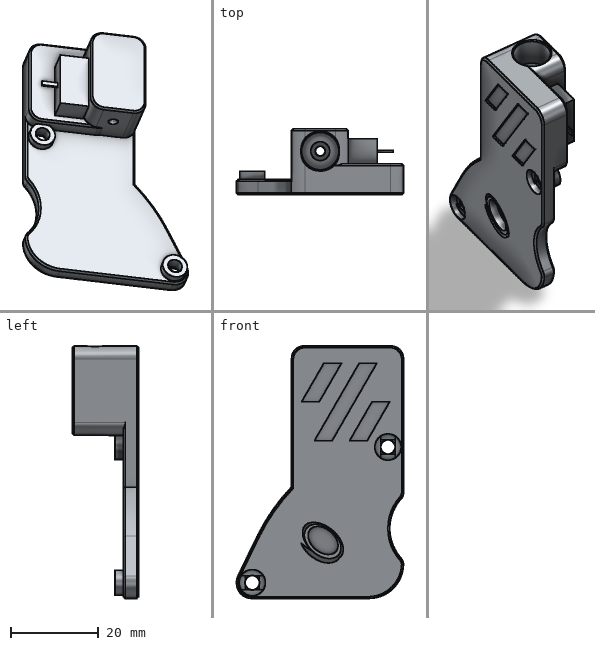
import cadquery as cq
import math


HOUSING_WIDTH = 38.19
HOUSING_HEIGHT = 57.75
UPPER_LEFT_X = 12.58
PLATE_THICKNESS = 3.5
STEP_THICKNESS = 7.1
BLOCK_THICKNESS = 15.1
CORNER_RADIUS = 3.0
EDGE_CHAMFER = 0.45

ARM_RADIUS = 3.62
ARM_EDGE_ANGLE = math.radians(64)
ARM_EDGE_TOP_Z = 14.35
ARC_MIDPOINT_INSET = 1 - math.sqrt(0.5)
WAIST_Z = 25.45
HEEL_RADIUS = 8.0
BITE_RADIUS = 10.3
BITE_DEPTH = 3.15
BITE_CENTRE_Z = 16.0
BITE_LIP_RADIUS = 2.0

BLOCK_WIDTH = 12.95
BLOCK_BOTTOM_Z = 37.3
STEP_LEFT_X = UPPER_LEFT_X + BLOCK_WIDTH / 2
STEP_DROP = 0.15
STEP_BOTTOM_Z = BLOCK_BOTTOM_Z - STEP_DROP

PASSAGE_X = 19.15
PASSAGE_Y = 9.95
FITTING_DIAMETER = 8.5
FITTING_DEPTH = 7.0
FITTING_CHAMFER = 0.3
TUBE_DIAMETER = 4.3
TUBE_DEPTH = 12.0
FILAMENT_DIAMETER = 2.2

SCREW_SPACING = 31.0
LOWER_SCREW = (ARM_RADIUS, ARM_RADIUS)
UPPER_SCREW = (ARM_RADIUS + SCREW_SPACING, ARM_RADIUS + SCREW_SPACING)
SCREW_DIAMETER = 3.25
HEAD_DIAMETER = 6.0
HEAD_DEPTH = 1.4
BRIDGE_LAYER = 0.35
MOUNT_BOSS_DIAMETER = 5.8
MOUNT_BOSS_HEIGHT = 1.9

GROOVE_WIDTH = 4.03
GROOVE_DEPTH = 0.5
GROOVE_LEAN = math.radians(30)
GROOVE_TOP_Z = 53.8
GROOVE_ROW_HEIGHT = 8.85
GROOVE_LEFT_X = 20.0
GROOVE_MIDDLE_X = 28.07
GROOVE_RIGHT_X = 30.98

RING_TILT = -40
RING_CENTRE = (19.71, 13.05)
RING_RADII = (4.75, 3.2)
RING_POCKET_CENTRE = (19.8, 13.27)
RING_POCKET_RADII = (3.87, 2.65)
UPPER_MOAT_CENTRE = (19.76, 13.13)
UPPER_MOAT_RADII = (5.4, 3.3)
LOWER_MOAT_CENTRE = (19.15, 12.5)
LOWER_MOAT_RADII = (5.4, 3.5)
MOAT_WALL_CENTRE = (17.08, 15.38)
MOAT_WALL_RADII = (7.3, 3.58)
RING_RECESS_DEPTH = 2.0

SWITCH_X = UPPER_LEFT_X + BLOCK_WIDTH
SWITCH_HEIGHT_X = 6.65
SWITCH_WIDTH_Y = 5.7
SWITCH_LENGTH_Z = 12.8
SWITCH_TOP_Z = 51.7
TERMINAL_LENGTH = 3.65
TERMINAL_THICKNESS = 0.5
TERMINAL_WIDTH = 1.0


def front_sketch(depth_y=0.0):
    """Workplane whose axes are X and Z; a negative extrusion runs toward +Y."""
    return cq.Workplane("XZ", origin=(0, depth_y, 0))


def rounded_slab(left, right, bottom, thickness):
    """Slab reaching the top of the housing, chamfered on its back edge."""
    slab = (
        front_sketch()
        .center((left + right) / 2, (bottom + HOUSING_HEIGHT) / 2)
        .rect(right - left, HOUSING_HEIGHT - bottom)
        .extrude(-thickness)
        .edges("|Y")
        .fillet(CORNER_RADIUS)
    )
    return slab.faces(">Y").edges().chamfer(EDGE_CHAMFER)


def plate_outline():
    tangent_x = ARM_RADIUS * (1 - math.sin(ARM_EDGE_ANGLE))
    tangent_z = ARM_RADIUS * (1 + math.cos(ARM_EDGE_ANGLE))
    edge_top_x = tangent_x + (ARM_EDGE_TOP_Z - tangent_z) / math.tan(ARM_EDGE_ANGLE)
    arm_diagonal = ARM_RADIUS * ARC_MIDPOINT_INSET
    heel_diagonal = HEEL_RADIUS * ARC_MIDPOINT_INSET
    return (
        front_sketch()
        .moveTo(UPPER_LEFT_X, HOUSING_HEIGHT)
        .lineTo(HOUSING_WIDTH, HOUSING_HEIGHT)
        .lineTo(HOUSING_WIDTH, HEEL_RADIUS)
        .threePointArc((HOUSING_WIDTH - heel_diagonal, heel_diagonal), (HOUSING_WIDTH - HEEL_RADIUS, 0))
        .lineTo(ARM_RADIUS, 0)
        .threePointArc((arm_diagonal, arm_diagonal), (tangent_x, tangent_z))
        .lineTo(edge_top_x, ARM_EDGE_TOP_Z)
        .tangentArcPoint((UPPER_LEFT_X, WAIST_Z), relative=False)
        .close()
    )


def make_plate():
    plate = plate_outline().extrude(-PLATE_THICKNESS)
    plate = plate.edges("|Y and >Z").fillet(CORNER_RADIUS)

    bite_x = HOUSING_WIDTH - BITE_DEPTH + BITE_RADIUS
    bite = front_sketch().center(bite_x, BITE_CENTRE_Z).circle(BITE_RADIUS).extrude(-PLATE_THICKNESS)
    plate = plate.cut(bite)
    lip_zone = cq.selectors.BoxSelector(
        (HOUSING_WIDTH - BITE_DEPTH, 0, BITE_CENTRE_Z - BITE_RADIUS),
        (HOUSING_WIDTH + BITE_DEPTH, PLATE_THICKNESS, BITE_CENTRE_Z + BITE_RADIUS),
    )
    plate = plate.edges("|Y").edges(lip_zone).fillet(BITE_LIP_RADIUS)
    return plate.faces("<Y or >Y").edges().chamfer(EDGE_CHAMFER)


def make_shell():
    """Plate, step and block joined, with the block and step kept behind the front edge chamfer."""
    block = rounded_slab(UPPER_LEFT_X, UPPER_LEFT_X + BLOCK_WIDTH, BLOCK_BOTTOM_Z, BLOCK_THICKNESS)
    step = rounded_slab(STEP_LEFT_X, HOUSING_WIDTH, STEP_BOTTOM_Z, STEP_THICKNESS)
    front_trim = cq.Workplane("XY").box(HOUSING_WIDTH, EDGE_CHAMFER, HOUSING_HEIGHT, centered=False)
    return make_plate().union(block.cut(front_trim)).union(step.cut(front_trim))


def filament_passage():
    radius = FITTING_DIAMETER / 2
    profile = (
        cq.Workplane("XZ", origin=(PASSAGE_X, PASSAGE_Y, HOUSING_HEIGHT))
        .moveTo(0, 0)
        .lineTo(radius + FITTING_CHAMFER, 0)
        .lineTo(radius, -FITTING_CHAMFER)
        .lineTo(radius, -FITTING_DEPTH)
        .lineTo(TUBE_DIAMETER / 2, -FITTING_DEPTH)
        .lineTo(TUBE_DIAMETER / 2, -TUBE_DEPTH)
        .lineTo(FILAMENT_DIAMETER / 2, -TUBE_DEPTH)
        .lineTo(FILAMENT_DIAMETER / 2, -HOUSING_HEIGHT)
        .lineTo(0, -HOUSING_HEIGHT)
        .close()
    )
    return profile.revolve(360, (0, 0, 0), (0, 1, 0))


def mount_boss(centre):
    boss = front_sketch(PLATE_THICKNESS).center(*centre).circle(MOUNT_BOSS_DIAMETER / 2)
    return boss.extrude(-MOUNT_BOSS_HEIGHT)


def screw_cut(centre, slot_along_x):
    """Head counterbore, two bridging layers (slot, then square) and the through hole."""
    head = front_sketch().center(*centre).circle(HEAD_DIAMETER / 2).extrude(-HEAD_DEPTH)
    slot_size = (HEAD_DIAMETER, SCREW_DIAMETER) if slot_along_x else (SCREW_DIAMETER, HEAD_DIAMETER)
    slot = front_sketch().center(*centre).rect(*slot_size).extrude(-HEAD_DEPTH - BRIDGE_LAYER)
    slot_round = front_sketch().center(*centre).circle(HEAD_DIAMETER / 2)
    slot = slot.intersect(slot_round.extrude(-PLATE_THICKNESS))
    square = front_sketch().center(*centre).rect(SCREW_DIAMETER, SCREW_DIAMETER)
    square = square.extrude(-HEAD_DEPTH - 2 * BRIDGE_LAYER)
    hole = front_sketch().center(*centre).circle(SCREW_DIAMETER / 2).extrude(-BLOCK_THICKNESS)
    return head.union(slot).union(square).union(hole)


def slanted_groove(top_left_x, top_z, rows):
    height = rows * GROOVE_ROW_HEIGHT
    lean = height * math.tan(GROOVE_LEAN)
    corners = [
        (top_left_x, top_z),
        (top_left_x + GROOVE_WIDTH, top_z),
        (top_left_x + GROOVE_WIDTH - lean, top_z - height),
        (top_left_x - lean, top_z - height),
    ]
    return front_sketch().polyline(corners).close().extrude(-GROOVE_DEPTH)


def elliptical_prism(centre, radii):
    plane = front_sketch().center(*centre).transformed(rotate=(0, 0, RING_TILT))
    return plane.ellipse(*radii).extrude(-RING_RECESS_DEPTH)


def ring_recesses():
    ring = elliptical_prism(RING_CENTRE, RING_RADII)
    upper_moat = elliptical_prism(UPPER_MOAT_CENTRE, UPPER_MOAT_RADII).cut(ring)
    moat_wall = elliptical_prism(MOAT_WALL_CENTRE, MOAT_WALL_RADII)
    lower_moat = elliptical_prism(LOWER_MOAT_CENTRE, LOWER_MOAT_RADII).cut(ring).cut(moat_wall)
    pocket = elliptical_prism(RING_POCKET_CENTRE, RING_POCKET_RADII)
    return [upper_moat, lower_moat, pocket]


def make_housing():
    housing = make_shell()
    for centre in (LOWER_SCREW, UPPER_SCREW):
        housing = housing.union(mount_boss(centre))
    housing = housing.cut(screw_cut(LOWER_SCREW, slot_along_x=True))
    housing = housing.cut(screw_cut(UPPER_SCREW, slot_along_x=False))
    housing = housing.cut(filament_passage())

    lower_row_z = GROOVE_TOP_Z - GROOVE_ROW_HEIGHT
    housing = housing.cut(slanted_groove(GROOVE_LEFT_X, GROOVE_TOP_Z, 1))
    housing = housing.cut(slanted_groove(GROOVE_MIDDLE_X, GROOVE_TOP_Z, 2))
    housing = housing.cut(slanted_groove(GROOVE_RIGHT_X, lower_row_z, 1))
    for recess in ring_recesses():
        housing = housing.cut(recess)
    return housing


def make_switch():
    body = cq.Workplane("XY").box(SWITCH_HEIGHT_X, SWITCH_WIDTH_Y, SWITCH_LENGTH_Z, centered=False)
    body = body.translate((SWITCH_X, STEP_THICKNESS, SWITCH_TOP_Z - SWITCH_LENGTH_Z))
    terminal = cq.Workplane("XY").box(
        TERMINAL_LENGTH, TERMINAL_THICKNESS, TERMINAL_WIDTH, centered=(False, True, True)
    )
    terminal = terminal.translate(
        (SWITCH_X + SWITCH_HEIGHT_X, STEP_THICKNESS + SWITCH_WIDTH_Y / 2, SWITCH_TOP_Z - SWITCH_LENGTH_Z / 2)
    )
    return body.union(terminal)


housing = make_housing().solids()
switch = make_switch().solids()
result = cq.Compound.makeCompound([housing.val(), switch.val()])